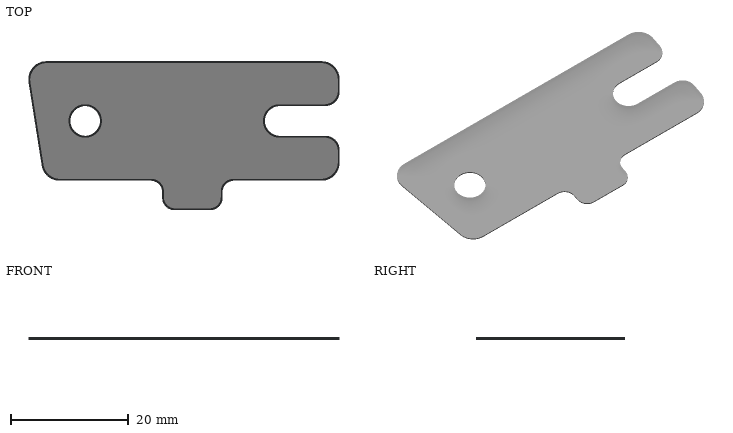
import cadquery as cq
import math

length = 52.5
total_width = 25.0
thickness = 0.25

plate_width = 20.0
corner_radius = 3.0
slant_angle = math.radians(9)

tab_start = 22.7
tab_width = 10.0
tab_end = tab_start + tab_width
tab_depth = total_width - plate_width
tab_radius = 2.0

hole_diameter = 5.3
hole_x = 9.5
slot_width = hole_diameter
slot_radius = slot_width / 2
slot_center_x = 42.5
slot_mouth_radius = 2.35
center_y = plate_width / 2


def slant_x(y):
    """X of the slanted end, placed so that its upper rounded corner just reaches X = 0."""
    drop = plate_width - corner_radius - y
    return corner_radius + drop * math.tan(slant_angle) - corner_radius / math.cos(slant_angle)


def fillet_at(body, points, radius):
    """Round the upright edges standing at the given XY points."""
    for x, y in points:
        edge = cq.selectors.NearestToPointSelector((x, y, thickness / 2))
        body = body.edges("|Z").edges(edge).fillet(radius)
    return body


plate_corners = [
    (slant_x(0), 0),
    (length, 0),
    (length, plate_width),
    (slant_x(plate_width), plate_width),
]
tab_corners = [
    (tab_start, 0),
    (tab_start, -tab_depth),
    (tab_end, -tab_depth),
    (tab_end, 0),
]
slot_mouth_corners = [
    (length, center_y - slot_radius),
    (length, center_y + slot_radius),
]

outline = plate_corners[:1] + tab_corners + plate_corners[1:]
plate = cq.Workplane("XY").polyline(outline).close().extrude(thickness)

slot = (
    cq.Workplane("XY")
    .moveTo(length, center_y + slot_radius)
    .lineTo(slot_center_x, center_y + slot_radius)
    .threePointArc((slot_center_x - slot_radius, center_y), (slot_center_x, center_y - slot_radius))
    .lineTo(length, center_y - slot_radius)
    .close()
    .extrude(thickness)
)
plate = plate.cut(slot)

plate = fillet_at(plate, plate_corners, corner_radius)
plate = fillet_at(plate, tab_corners, tab_radius)
plate = fillet_at(plate, slot_mouth_corners, slot_mouth_radius)

hole = cq.Workplane("XY").center(hole_x, center_y).circle(hole_diameter / 2).extrude(thickness)
result = plate.cut(hole)